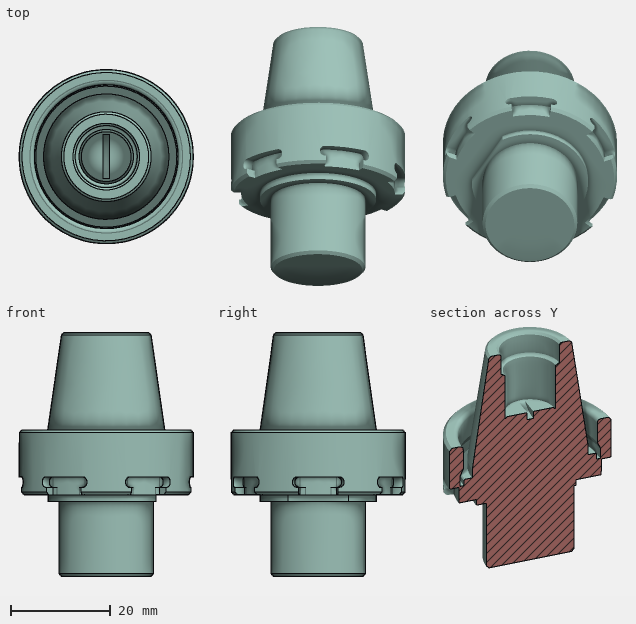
import cadquery as cq
import math

total_height = 49.0
ring_diameter = 35.0

shank_diameter = 19.0
shank_chamfer = 0.6
collar_bottom = 15.1
collar_diameter = 23.35
collar_flat_x = 10.0
ring_bottom = 16.4
ring_top = 29.5
ring_chamfer = 0.6

groove_mouth_diameter = 30.65
groove_bore_diameter = 28.9
undercut_diameter = 30.4
undercut_start = 24.1
undercut_end = 22.55
groove_floor = 21.75
floor_diameter = 28.8
floor_chamfer = 0.25
trench_bottom = 20.35

nose_base_diameter = 25.2
nose_cone_bottom = 23.65
nose_top_diameter = 18.05
nose_chamfer = 0.5

mouth_diameter = 13.4
mouth_chamfer_height = 0.45
upper_bore_diameter = 12.5
upper_bore_bottom = 44.4
lower_bore_diameter = 10.95
lower_bore_top = 43.9
screw_top = 34.3
screw_face_diameter = 10.0
screw_slot_width = 1.3
screw_slot_length = 8.85
screw_slot_radius = 6.85

notch_count = 6
notch_floor_radius = 15.45
notch_top = 20.05
notch_step = 17.95
upper_end_angle = 13.8
lower_end_angle = 9.7


def ring_and_nose():
    """Outer body as one turned profile, with a narrow trench around the groove floor."""
    ring_radius = ring_diameter / 2
    shank_radius = shank_diameter / 2
    bore_radius = groove_bore_diameter / 2
    mouth_radius = groove_mouth_diameter / 2
    undercut_radius = undercut_diameter / 2
    floor_radius = floor_diameter / 2
    nose_base_radius = nose_base_diameter / 2
    nose_radius = nose_top_diameter / 2
    rounding = mouth_radius - bore_radius
    arc_inset = rounding * (1 - math.sqrt(0.5))
    profile = (
        cq.Workplane("XZ")
        .moveTo(0, 0)
        .lineTo(shank_radius - shank_chamfer, 0)
        .lineTo(shank_radius, shank_chamfer)
        .lineTo(shank_radius, ring_bottom)
        .lineTo(ring_radius - ring_chamfer, ring_bottom)
        .lineTo(ring_radius, ring_bottom + ring_chamfer)
        .lineTo(ring_radius, ring_top - ring_chamfer)
        .lineTo(ring_radius - ring_chamfer, ring_top)
        .lineTo(mouth_radius, ring_top)
        .threePointArc((bore_radius + arc_inset, ring_top - arc_inset), (bore_radius, ring_top - rounding))
        .lineTo(bore_radius, undercut_start)
        .lineTo(undercut_radius, undercut_end)
        .lineTo(undercut_radius, trench_bottom)
        .lineTo(floor_radius, trench_bottom)
        .lineTo(floor_radius, groove_floor - floor_chamfer)
        .lineTo(floor_radius - floor_chamfer, groove_floor)
        .lineTo(nose_base_radius, groove_floor)
        .lineTo(nose_base_radius, nose_cone_bottom)
        .lineTo(nose_radius, total_height - nose_chamfer)
        .lineTo(nose_radius - nose_chamfer, total_height)
        .lineTo(0, total_height)
        .close()
    )
    return profile.revolve(360, (0, 0, 0), (0, 1, 0))


def collar():
    """Collar under the ring, with one flat facing +X."""
    height = ring_bottom - collar_bottom
    radius = collar_diameter / 2
    disc = cq.Workplane("XY").workplane(offset=collar_bottom).circle(radius).extrude(height)
    beyond_flat = cq.Workplane("XY").box(radius, collar_diameter, height, centered=(False, True, False))
    return disc.cut(beyond_flat.translate((collar_flat_x, 0, collar_bottom)))


def nose_bore():
    """Stepped bore, down to the chamfered face of the screw."""
    lower_radius = lower_bore_diameter / 2
    upper_radius = upper_bore_diameter / 2
    screw_face_radius = screw_face_diameter / 2
    screw_chamfer = lower_radius - screw_face_radius
    profile = (
        cq.Workplane("XZ")
        .moveTo(0, screw_top)
        .lineTo(screw_face_radius, screw_top)
        .lineTo(lower_radius, screw_top - screw_chamfer)
        .lineTo(lower_radius, lower_bore_top)
        .lineTo(upper_radius, upper_bore_bottom)
        .lineTo(upper_radius, total_height - mouth_chamfer_height)
        .lineTo(mouth_diameter / 2, total_height)
        .lineTo(0, total_height)
        .close()
    )
    return profile.revolve(360, (0, 0, 0), (0, 1, 0))


def screw_slot():
    """Arc-bottomed driver slot along Y."""
    centre_height = math.sqrt(screw_slot_radius**2 - (screw_slot_length / 2) ** 2)
    cutter = cq.Workplane("YZ").circle(screw_slot_radius).extrude(screw_slot_width / 2, both=True)
    cutter = cutter.translate((0, 0, screw_top + centre_height))
    below_face = cq.Workplane("XY").box(
        screw_slot_width, screw_slot_length, screw_slot_radius, centered=(True, True, False)
    )
    return cutter.intersect(below_face.translate((0, 0, screw_top - screw_slot_radius)))


def arc_band(end_angle, bottom, top):
    """Sector of the ring wall outside the notch floor, centred on +X."""
    reach = ring_diameter
    half_width = reach * math.tan(math.radians(end_angle))
    wedge = (
        cq.Workplane("XY")
        .workplane(offset=bottom)
        .polyline([(0, 0), (reach, -half_width), (reach, half_width)])
        .close()
        .extrude(top - bottom)
    )
    core = cq.Workplane("XY").circle(notch_floor_radius).extrude(total_height)
    return wedge.cut(core)


def notch():
    """T-shaped notch centred on +X: a round-ended slot over a narrower square-ended opening."""
    depth = ring_diameter - notch_floor_radius
    slot_height = notch_top - notch_step
    slot_middle = (notch_top + notch_step) / 2
    opening_bottom = ring_bottom - ring_chamfer
    opening_height = slot_middle - opening_bottom
    floor_plane = cq.Workplane("YZ").workplane(offset=notch_floor_radius)
    round_end = floor_plane.center(0, slot_middle).circle(slot_height / 2).extrude(depth)
    square_end = (
        floor_plane.center(0, opening_bottom + opening_height / 2)
        .rect(slot_height, opening_height)
        .extrude(depth)
    )
    cutter = arc_band(upper_end_angle, notch_step, notch_top)
    cutter = cutter.union(arc_band(lower_end_angle, opening_bottom, slot_middle))
    for side in (-1, 1):
        cutter = cutter.union(round_end.rotate((0, 0, 0), (0, 0, 1), side * upper_end_angle))
        cutter = cutter.union(square_end.rotate((0, 0, 0), (0, 0, 1), side * lower_end_angle))
    return cutter


result = ring_and_nose().union(collar()).cut(nose_bore()).cut(screw_slot())
for index in range(notch_count):
    result = result.cut(notch().rotate((0, 0, 0), (0, 0, 1), index * 360 / notch_count))